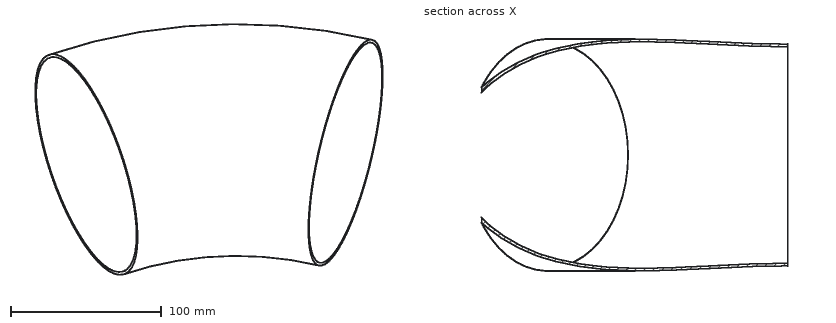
import cadquery as cq
import math

overall_length = 213.5
bend_angle = 45.0
outer_diameter = 154.0
wall = 2.0

outer_bend_radius = overall_length / math.sin(math.radians(bend_angle))
outer_radius = outer_diameter / 2
inner_radius = outer_radius - wall
bend_radius = outer_bend_radius - outer_radius

axis_start = (bend_radius, outer_radius)
axis_end = (bend_radius, 0)

result = (
    cq.Workplane("XZ")
    .circle(outer_radius)
    .circle(inner_radius)
    .revolve(bend_angle, axis_start, axis_end)
)